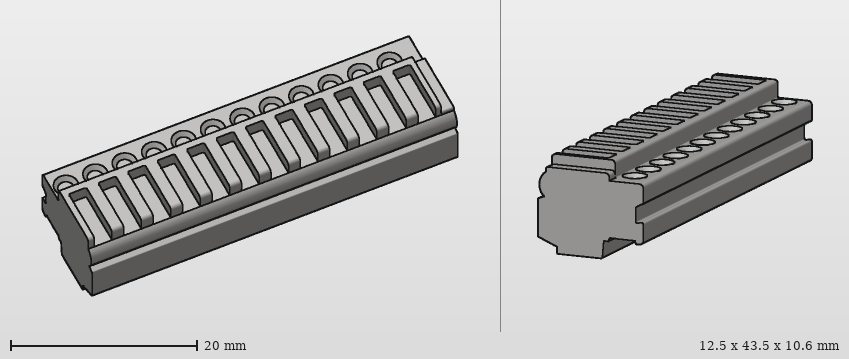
import cadquery as cq


width = 12.5
length = 43.5
height = 10.6

pole_count = 12
pole_span = 38.5
pole_pitch = pole_span / (pole_count - 1)

block_left = 4.05
block_right = 11.53
block_round = 0.45

ledge_height = 8.65
ledge_round = 0.52
ledge_corner_round = 0.1

groove_depth = 0.9
groove_top = 6.4
groove_top_inner = 6.05
groove_top_flat = 0.3
groove_top_round = 0.25
groove_bottom_inner = 4.25
groove_bottom_round = 0.17
lip_top = 4.5
lip_round = 0.25

lip_bottom = 1.95
lip_bottom_round = 0.52
lip_width = 0.85
underside_height = 2.35
underside_end = 4.0
underside_run = 0.17

plug_root_left = 4.7
plug_tip_left = 4.87
plug_right = 10.22
plug_right_height = 0.8
plug_round = 0.17

skirt_bottom = 1.7
skirt_top = 5.9
skirt_round = 0.15
bead_bottom = (11.75, 6.18)
bead_peak = (12.3, 7.65)
bead_top = 8.95

step_length = 1.52
step_height = 9.5
step_right_round = 0.2

slot_width = 2.1
slot_left = 5.1
slot_round = 0.2
first_slot_y = 1.8

recess_x = 2.55
recess_top_diameter = 2.7
recess_floor_diameter = 1.75
recess_depth = 0.52
first_recess_y = 1.6


def along_length(profile, start, end):
    """Extrude an XZ profile from Y = start to Y = end."""
    return profile.extrude(start - end).translate((0, start, 0))


def round_edge(body, x, z, radius):
    """Round the lengthwise edge that passes through (x, z)."""
    selector = cq.selectors.NearestToPointSelector((x, length / 2, z))
    return body.edges("|Y").edges(selector).fillet(radius)


def make_body():
    """Full-length body up to the top of the raised block."""
    outline = (
        cq.Workplane("XZ")
        .moveTo(0, lip_bottom)
        .lineTo(0, lip_top)
        .lineTo(groove_depth, groove_bottom_inner)
        .lineTo(groove_depth, groove_top_inner)
        .lineTo(groove_top_flat, groove_top)
        .lineTo(0, groove_top)
        .lineTo(0, ledge_height)
        .lineTo(block_left, ledge_height)
        .lineTo(block_left, height)
        .lineTo(block_right, height)
        .lineTo(block_right, bead_top)
        .threePointArc(bead_peak, bead_bottom)
        .lineTo(width, skirt_top)
        .lineTo(width, skirt_bottom)
        .lineTo(plug_right, plug_right_height)
        .lineTo(plug_right, 0)
        .lineTo(plug_tip_left, 0)
        .lineTo(plug_root_left, lip_bottom)
        .lineTo(underside_end + underside_run, lip_bottom)
        .lineTo(underside_end, underside_height)
        .lineTo(lip_width + underside_run, underside_height)
        .lineTo(lip_width, lip_bottom)
        .close()
    )
    body = along_length(outline, 0, length)
    rounded_edges = [
        (0, lip_bottom, lip_bottom_round),
        (0, lip_top, lip_round),
        (groove_depth, groove_bottom_inner, groove_bottom_round),
        (groove_depth, groove_top_inner, groove_top_round),
        (0, groove_top, lip_round),
        (0, ledge_height, ledge_round),
        (block_left, ledge_height, ledge_corner_round),
        (block_left, height, block_round),
        (block_right, height, block_round),
        (width, skirt_top, skirt_round),
        (width, skirt_bottom, skirt_round),
        (plug_right, 0, plug_round),
        (plug_tip_left, 0, plug_round),
    ]
    for x, z, radius in rounded_edges:
        body = round_edge(body, x, z, radius)
    return body


def make_end_cut():
    """Material removed around the lowered step, square where it meets the ledge."""
    cut_left = block_left - ledge_corner_round
    cut = cq.Workplane("XY").box(
        block_right - cut_left, step_length, height - ledge_height, centered=False
    )
    cut = cut.translate((cut_left, length - step_length, ledge_height))
    step = (
        cq.Workplane("XZ")
        .moveTo(block_left, 0)
        .lineTo(block_left, step_height - block_round)
        .radiusArc((block_left + block_round, step_height), block_round)
        .lineTo(block_right - step_right_round, step_height)
        .radiusArc((block_right, step_height - step_right_round), step_right_round)
        .lineTo(block_right, 0)
        .close()
    )
    return cut.cut(along_length(step, 0, length))


def make_slot():
    """Wire slot, open to the right, centred on Y = 0."""
    slot_length = width - slot_left
    return (
        cq.Workplane("XY", origin=(slot_left + slot_length / 2, 0, bead_top))
        .rect(slot_length, slot_width)
        .extrude(height - bead_top)
        .edges("|Z and <X")
        .fillet(slot_round)
    )


def make_recess():
    """Conical screw recess with a flat floor, centred on Y = 0."""
    return (
        cq.Workplane("XY", origin=(recess_x, 0, ledge_height - recess_depth))
        .circle(recess_floor_diameter / 2)
        .workplane(offset=recess_depth)
        .circle(recess_top_diameter / 2)
        .loft()
    )


result = make_body().cut(make_end_cut())
slot = make_slot()
recess = make_recess()
for pole in range(pole_count):
    pole_offset = pole * pole_pitch
    result = result.cut(slot.translate((0, first_slot_y + pole_offset, 0)))
    result = result.cut(recess.translate((0, first_recess_y + pole_offset, 0)))